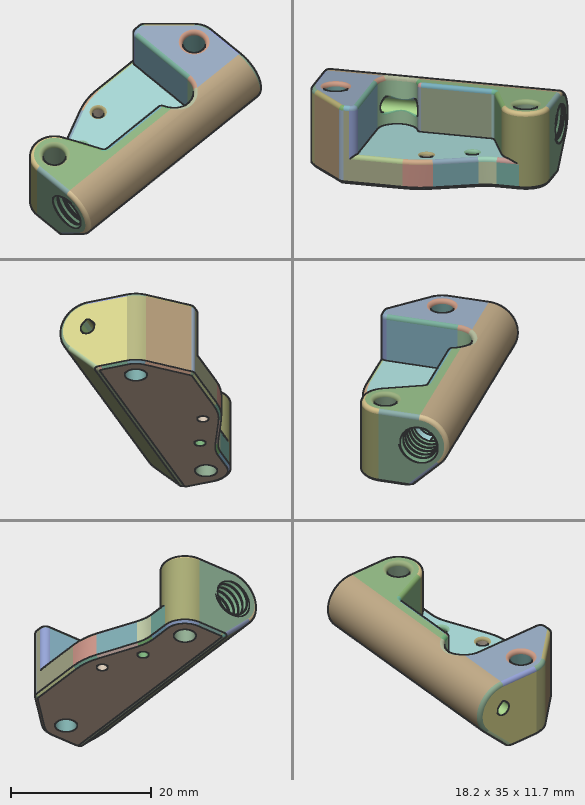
import cadquery as cq
import math

LENGTH = 35.0
HEIGHT = 11.7
BARREL_RADIUS = 4.35
BARREL_X = 13.8
BARREL_Z = HEIGHT - BARREL_RADIUS
WIDTH = BARREL_X + BARREL_RADIUS

EDGE_FILLET = 0.6
BOTTOM_CHAMFER = 0.42
SIDE_CORNER_RADIUS = 1.0
MOUTH_FILLET = 0.25

MOUNT_X = 7.77
MOUNT_INSET = 3.5
MOUNT_RADIUS = 3.5
MOUNT_HOLE_DIAMETER = 3.2

PLATE_HEIGHT = 4.4
TAPER_ANGLE = math.radians(25)
TAPER_START_Y = 17.32
TAPER_UPPER_RADIUS = 10.0
TAPER_LOWER_RADIUS = 6.0
POCKET_TOP_Y = 26.4
POCKET_WALL_X = 12.05
POCKET_CORNER_RADIUS = 0.6
RECESS_DIAMETER = 5.8
RECESS_RADIUS = RECESS_DIAMETER / 2
RECESS_X = 11.55
RECESS_CORNER_RADIUS = 0.63
RECESS_Y = POCKET_TOP_Y - RECESS_RADIUS

PLATE_HOLES = [(3.15, 16.87), (5.88, 10.85)]
PLATE_HOLE_DIAMETER = 1.6
PLATE_HOLE_FILLET = 0.42

BORE_RADIUS = 1.05
BORE_Z = BARREL_Z - 0.07
BORE_RIDGE_RADIUS = 0.4
CONE_TIP_RADIUS = 0.85
THREAD_MINOR_RADIUS = 5.15 / 2
THREAD_MAJOR_RADIUS = 6.25 / 2
THREAD_PITCH = 1.0
THREAD_TURNS = 7
THREAD_CREST = 0.1
THREAD_ROOT = 0.07
THREAD_OVERLAP = 0.07
SOCKET_DEPTH = THREAD_PITCH * THREAD_TURNS

FRONT_MOUNT = (MOUNT_X, MOUNT_INSET)
REAR_MOUNT = (MOUNT_X, LENGTH - MOUNT_INSET)
DIAGONAL = math.sqrt(0.5)
REAR_TANGENT = (MOUNT_X - MOUNT_RADIUS * DIAGONAL, REAR_MOUNT[1] + MOUNT_RADIUS * DIAGONAL)
SHOULDER_Y = REAR_TANGENT[1] - REAR_TANGENT[0]
EDGE_SEARCH = 0.05


def on_circle(center, radius, degrees):
    angle = math.radians(degrees)
    return (center[0] + radius * math.cos(angle), center[1] + radius * math.sin(angle))


def prism(sketch, height):
    return sketch.close().extrude(height)


def round_vertical_edge(solid, x, y, radius):
    """Round the upright edge that stands at (x, y)."""
    box = cq.selectors.BoxSelector(
        (x - EDGE_SEARCH, y - EDGE_SEARCH, 0),
        (x + EDGE_SEARCH, y + EDGE_SEARCH, HEIGHT),
    )
    return solid.edges("|Z").edges(box).fillet(radius)


def rear_outline():
    """Open outline shared by plate and block, from the front mount round to the left shoulder."""
    return (
        cq.Workplane("XY")
        .moveTo(MOUNT_X, 0)
        .lineTo(WIDTH, 0)
        .lineTo(WIDTH, LENGTH)
        .lineTo(MOUNT_X, LENGTH)
        .threePointArc(on_circle(REAR_MOUNT, MOUNT_RADIUS, 112.5), REAR_TANGENT)
        .lineTo(0, SHOULDER_Y)
    )


def make_plate():
    """Thin plate under the pocket, with a tapered left side."""
    mount_left = MOUNT_X - MOUNT_RADIUS
    taper_end_y = TAPER_START_Y - mount_left / math.tan(TAPER_ANGLE)
    outline = (
        rear_outline()
        .lineTo(0, TAPER_START_Y)
        .lineTo(mount_left, taper_end_y)
        .lineTo(mount_left, FRONT_MOUNT[1])
        .threePointArc(on_circle(FRONT_MOUNT, MOUNT_RADIUS, 225), (MOUNT_X, 0))
    )
    plate = prism(outline, PLATE_HEIGHT)
    plate = round_vertical_edge(plate, 0, SHOULDER_Y, SIDE_CORNER_RADIUS)
    plate = round_vertical_edge(plate, 0, TAPER_START_Y, TAPER_UPPER_RADIUS)
    plate = round_vertical_edge(plate, mount_left, taper_end_y, TAPER_LOWER_RADIUS)
    return plate


def make_block():
    """Full-height block that surrounds the pocket on three sides."""
    tangent_degrees = 90 + math.degrees(TAPER_ANGLE)
    mount_tangent = on_circle(FRONT_MOUNT, MOUNT_RADIUS, tangent_degrees)
    wall_end_y = mount_tangent[1] + (POCKET_WALL_X - mount_tangent[0]) * math.tan(TAPER_ANGLE)
    recess_end_y = RECESS_Y - math.sqrt(RECESS_RADIUS**2 - (POCKET_WALL_X - RECESS_X) ** 2)
    outline = (
        rear_outline()
        .lineTo(0, POCKET_TOP_Y)
        .lineTo(RECESS_X, POCKET_TOP_Y)
        .threePointArc((RECESS_X + RECESS_RADIUS, RECESS_Y), (POCKET_WALL_X, recess_end_y))
        .lineTo(POCKET_WALL_X, wall_end_y)
        .lineTo(*mount_tangent)
        .threePointArc(on_circle(FRONT_MOUNT, MOUNT_RADIUS, 200), (MOUNT_X, 0))
    )
    block = prism(outline, HEIGHT)
    block = round_vertical_edge(block, 0, SHOULDER_Y, SIDE_CORNER_RADIUS)
    block = round_vertical_edge(block, 0, POCKET_TOP_Y, SIDE_CORNER_RADIUS)
    block = round_vertical_edge(block, POCKET_WALL_X, wall_end_y, POCKET_CORNER_RADIUS)
    block = round_vertical_edge(block, POCKET_WALL_X, recess_end_y, RECESS_CORNER_RADIUS)
    return block


def make_barrel_envelope():
    """Cross-section of the part: flat top, round barrel and a 45 degree underside."""
    barrel = (BARREL_X, BARREL_Z)
    slope_start = on_circle(barrel, BARREL_RADIUS, -45)
    return prism(
        cq.Workplane("XZ")
        .moveTo(0, 0)
        .lineTo(slope_start[0] - slope_start[1], 0)
        .lineTo(*slope_start)
        .threePointArc(on_circle(barrel, BARREL_RADIUS, 22.5), (BARREL_X, HEIGHT))
        .lineTo(0, HEIGHT),
        -LENGTH,
    )



def make_body():
    """Block and plate trimmed to the cross-section, rounded on top and chamfered underneath."""
    envelope = make_barrel_envelope()
    block = make_block().intersect(envelope).faces(">Z").edges().fillet(EDGE_FILLET)
    end_edges = envelope.faces("<Y or >Y").edges(">Z")
    rounded_envelope = end_edges.fillet(EDGE_FILLET)
    plate = make_plate().faces(">Z").edges().fillet(EDGE_FILLET).intersect(rounded_envelope)
    return plate.union(block).faces("<Z").chamfer(BOTTOM_CHAMFER)


def round_hole(x, y, top, diameter, fillet):
    """Cutter for an upright through hole whose upper rim is rounded."""
    radius = diameter / 2
    quarter = fillet * (1 - DIAGONAL)
    return (
        cq.Workplane("XZ")
        .moveTo(0, 0)
        .lineTo(radius, 0)
        .lineTo(radius, top - fillet)
        .threePointArc((radius + quarter, top - quarter), (radius + fillet, top))
        .lineTo(0, top)
        .close()
        .revolve(360, (0, 0, 0), (0, 1, 0))
        .translate((x, y, 0))
    )


def teardrop(radius, start_y):
    """Closed section of a bore with a 45 degree roof whose ridge is rounded."""
    ridge = BORE_RIDGE_RADIUS
    side = radius * DIAGONAL
    ridge_center = (radius - ridge) / DIAGONAL
    ridge_side = ridge * DIAGONAL
    return (
        cq.Workplane("XZ", origin=(BARREL_X, start_y, BORE_Z))
        .moveTo(side, side)
        .lineTo(ridge_side, ridge_center + ridge_side)
        .threePointArc((0, ridge_center + ridge), (-ridge_side, ridge_center + ridge_side))
        .lineTo(-side, side)
        .threePointArc((0, -radius), (side, side))
        .close()
    )


def round_bore(radius, start_y, length):
    return cq.Workplane("XZ", origin=(BARREL_X, start_y, BORE_Z)).circle(radius).extrude(-length)


def make_socket_cone():
    """45 degree cone with a teardrop section, narrowing from the socket to the bore."""
    depth = THREAD_MINOR_RADIUS - CONE_TIP_RADIUS
    wide_end = teardrop(THREAD_MINOR_RADIUS, SOCKET_DEPTH).wire().val()
    narrow_end = teardrop(CONE_TIP_RADIUS, SOCKET_DEPTH + depth).wire().val()
    cone = cq.Workplane(cq.Solid.makeLoft([wide_end, narrow_end], True))
    return cone.intersect(round_bore(THREAD_MINOR_RADIUS, SOCKET_DEPTH, depth))


def make_thread():
    """Helical groove with sloping flanks, lowest where it meets the front face."""
    base_radius = THREAD_MINOR_RADIUS - THREAD_OVERLAP
    base_half = (THREAD_PITCH - THREAD_CREST) / 2
    root_half = THREAD_ROOT / 2
    helix = cq.Wire.makeHelix(THREAD_PITCH, SOCKET_DEPTH, THREAD_MINOR_RADIUS)
    groove = (
        cq.Workplane("XZ")
        .moveTo(base_radius, -base_half)
        .lineTo(THREAD_MAJOR_RADIUS, -root_half)
        .lineTo(THREAD_MAJOR_RADIUS, root_half)
        .lineTo(base_radius, base_half)
        .close()
        .sweep(cq.Workplane(helix), isFrenet=True)
    )
    groove = groove.rotate((0, 0, 0), (0, 0, 1), 90).rotate((0, 0, 0), (1, 0, 0), -90)
    return groove.translate((BARREL_X, -THREAD_PITCH, BORE_Z))


def cut_barrel_bore(body):
    """Round bore from the socket to the recess, teardrop bore from the recess to the rear end."""
    recess_start = RECESS_Y - RECESS_RADIUS
    body = body.cut(teardrop(BORE_RADIUS, recess_start).extrude(recess_start - LENGTH))
    return body.cut(round_bore(BORE_RADIUS, SOCKET_DEPTH, recess_start - SOCKET_DEPTH))


def round_bore_mouth(body):
    """Round the rim where the bore breaks through the curved wall of the recess."""
    near_mouth = cq.selectors.BoxSelector(
        (RECESS_X, RECESS_Y - RECESS_RADIUS, BORE_Z - 2 * BORE_RADIUS),
        (BARREL_X + BORE_RADIUS, RECESS_Y + RECESS_RADIUS, BORE_Z + 2 * BORE_RADIUS),
    )
    walls = body.faces("%CYLINDER").faces(near_mouth).vals()
    mouths = [rim for wall in walls for rim in wall.innerWires()]
    return body.newObject(mouths[0].Edges()).fillet(MOUTH_FILLET)


def cut_socket(body):
    """Plain hole in the front end, closed by a cone that leads into the bore."""
    body = body.cut(round_bore(THREAD_MINOR_RADIUS, 0, SOCKET_DEPTH))
    return body.cut(make_socket_cone())


result = make_body()
for mount_x, mount_y in (FRONT_MOUNT, REAR_MOUNT):
    result = result.cut(round_hole(mount_x, mount_y, HEIGHT, MOUNT_HOLE_DIAMETER, EDGE_FILLET))
for hole_x, hole_y in PLATE_HOLES:
    result = result.cut(round_hole(hole_x, hole_y, PLATE_HEIGHT, PLATE_HOLE_DIAMETER, PLATE_HOLE_FILLET))
result = cut_socket(result)
result = cut_barrel_bore(result)
result = round_bore_mouth(result)
result = result.cut(make_thread())